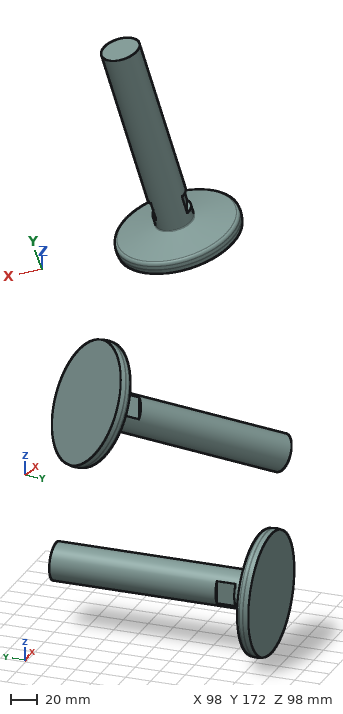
import cadquery as cq
import math

total_length = 172.0
stem_diameter = 30.0
rim_diameter = 98.0

land_start = 4.05
land_width = 0.3
lower_draft = math.radians(8.0)
upper_draft = math.radians(5.0)
cone_angle = math.radians(10.0)
cone_top = 15.3
shoulder_radius = 3.0
stem_root_radius = 0.5

flat_start = 24.0
flat_length = 15.0
across_flats = 24.0

stem_radius = stem_diameter / 2
rim_radius = rim_diameter / 2
land_end = land_start + land_width
face_radius = rim_radius - land_start * math.tan(lower_draft)

cone_height_at_rim = cone_top - (rim_radius - stem_radius) * math.tan(cone_angle)
corner_rise = (cone_height_at_rim - land_end) / (1 - math.tan(upper_draft) * math.tan(cone_angle))
shoulder_corner = (rim_radius - corner_rise * math.tan(upper_draft), land_end + corner_rise)
stem_root_corner = (stem_radius, cone_top)


def rounded_corner(before, corner, after, radius):
    """Start, middle and end of the arc that rounds a corner between two straight lines."""
    point = cq.Vector(*corner)
    to_before = (cq.Vector(*before) - point).normalized()
    to_after = (cq.Vector(*after) - point).normalized()
    half_angle = to_before.getAngle(to_after) / 2
    tangent_length = radius / math.tan(half_angle)
    middle_distance = radius / math.sin(half_angle) - radius
    start = point + to_before * tangent_length
    middle = point + (to_before + to_after).normalized() * middle_distance
    end = point + to_after * tangent_length
    return start, middle, end


def make_body():
    """Foot and stem as one revolved profile (radius along X, height along Y)."""
    land_edge = (rim_radius, land_end)
    stem_end = (stem_radius, total_length)
    shoulder = rounded_corner(land_edge, shoulder_corner, stem_root_corner, shoulder_radius)
    stem_root = rounded_corner(shoulder_corner, stem_root_corner, stem_end, stem_root_radius)
    profile = cq.Workplane("XY").lineTo(face_radius, 0).lineTo(rim_radius, land_start).lineTo(*land_edge)
    for start, middle, end in (shoulder, stem_root):
        profile = profile.lineTo(start.x, start.y).threePointArc(middle, end)
    profile = profile.lineTo(*stem_end).lineTo(0, total_length).close()
    return profile.revolve(360, (0, 0), (0, 1))


def flat_cutter(side):
    """Block that removes the stem outside one spanner flat; side is +1 or -1."""
    depth = stem_radius
    center_x = side * (across_flats + depth) / 2
    center_y = flat_start + flat_length / 2
    return cq.Workplane("XY").box(depth, flat_length, stem_diameter).translate((center_x, center_y, 0))


result = make_body()
for side in (-1, 1):
    result = result.cut(flat_cutter(side))